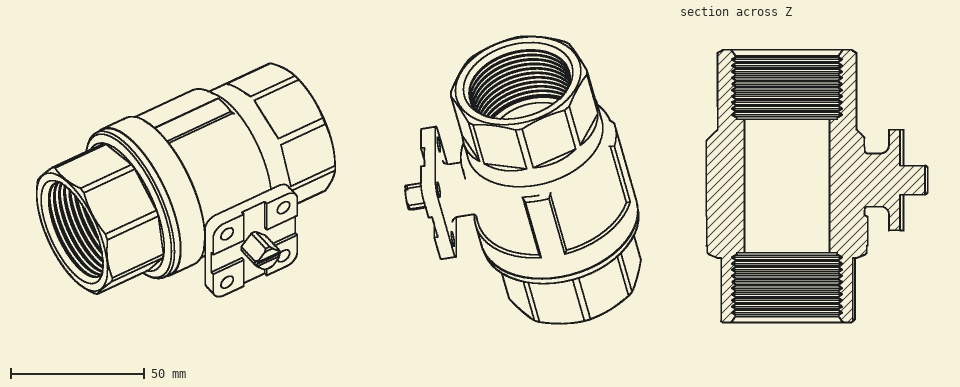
import cadquery as cq
import math


LENGTH = 102.5
BACK_END = 49.0
FRONT_END = BACK_END - LENGTH
BACK_FLATS_END = 27.8
NECK_END = 19.0
PANEL_END = -13.1
BAND_END = -24.6
RING_EDGE = -27.3
RING_CONE = -28.1
RING_END = -29.3

BODY_R = 30.3
PANEL_R = 29.2
PANEL_EDGE_FILLET = 1.0
RING_R = 30.0
RING_CONE_R = 29.2
BACK_R = 26.1
FRONT_R = 25.8
SEAT_R = 15.9

FLAT_COUNT = 8
BACK_FLAT_DISTANCE = 24.6
FRONT_FLAT_DISTANCE = 24.3
FRONT_TURN = -11.2
END_FACE_R = 24.1
END_CHAMFER = 1.2
FLAT_RUNOUT = 0.5

MOUTH_R = 21.0
MOUTH_CHAMFER = 2.3
THREAD_CREST_R = 19.4
THREAD_ROOT_R = 20.7
THREAD_PITCH = 2.31
THREAD_CREST_FLAT = 0.6
THREAD_COUNT = 10
SOCKET_R = 18.9
SOCKET_DEPTH = 26.1

TOP_RIB_HEIGHT = 29.6
TOP_RIB_HALF_WIDTH = 4.3
SIDE_RIB_HALF_WIDTH = 6.0
RIB_SLOPE = 0.6

NECK_R = 10.0
NECK_FILLET = 1.0
FLARE_R = 3.1
FLANGE_X = 38.2
FLANGE_THICKNESS = 5.5
FLANGE_SIZE = 37.9
FLANGE_CORNER_R = 4.8
HOLE_PITCH = 25.4
HOLE_D = 5.5
CHANNEL_WIDTH = 10.2
CHANNEL_DEPTH = 1.3
STEM_END_X = 52.9
STEM_R = 5.5
STEM_SQUARE = 9.0
STEM_CHAMFER = 0.7
STEM_SLOT_WIDTH = 2.0
STEM_SLOT_DEPTH = 1.0

FLANGE_OUTER_X = FLANGE_X + FLANGE_THICKNESS
STEM_START_X = FLANGE_OUTER_X - CHANNEL_DEPTH
SHOULDER_PANEL_Y = NECK_END - (PANEL_R - BACK_R)
SHOULDER_BODY_Y = NECK_END - (BODY_R - BACK_R)
BEYOND = 10.2
EDGE_MARGIN = 0.1


def revolve_about_flow(points):
    """Full turn about Y of an outline given as (radius, y) points."""
    return cq.Workplane("XY").polyline(points).close().revolve(360, (0, 0, 0), (0, 1, 0))


def turn_about_flow(shape, angle):
    """Turn from +X towards +Z."""
    return shape.rotate((0, 0, 0), (0, 1, 0), -angle)


def outer_body():
    bar = revolve_about_flow([
        (0, BACK_END),
        (END_FACE_R, BACK_END),
        (BACK_R, BACK_END - END_CHAMFER),
        (BACK_R, NECK_END),
        (PANEL_R, SHOULDER_PANEL_Y),
        (PANEL_R, PANEL_END),
        (BODY_R, PANEL_END - RIB_SLOPE * (BODY_R - PANEL_R)),
        (BODY_R, BAND_END),
        (RING_R, BAND_END),
        (RING_R, RING_EDGE),
        (RING_CONE_R, RING_CONE),
        (BACK_R, RING_END),
        (FRONT_R, RING_END),
        (FRONT_R, FRONT_END + END_CHAMFER),
        (END_FACE_R, FRONT_END),
        (0, FRONT_END),
    ])
    panel_edge = cq.selectors.BoxSelector(
        (-BODY_R, SHOULDER_PANEL_Y - EDGE_MARGIN, -BODY_R),
        (BODY_R, SHOULDER_PANEL_Y + EDGE_MARGIN, BODY_R),
        boundingbox=True,
    )
    return bar.edges(panel_edge).fillet(PANEL_EDGE_FILLET)


def rib(angle, height, half_width):
    """Sloped-sided rib at the given angle, trimmed by the full-size body and its shoulder."""
    envelope = revolve_about_flow([
        (0, NECK_END),
        (BACK_R, NECK_END),
        (BODY_R, SHOULDER_BODY_Y),
        (BODY_R, BAND_END),
        (0, BAND_END),
    ])
    root = height - BEYOND
    root_half_width = half_width + RIB_SLOPE * BEYOND
    bar = (
        cq.Workplane("XZ", origin=(0, NECK_END, 0))
        .polyline([
            (root, -root_half_width),
            (height, -half_width),
            (height, half_width),
            (root, root_half_width),
        ])
        .close()
        .extrude(NECK_END - BAND_END)
    )
    return turn_about_flow(bar, angle).intersect(envelope)


def cut_flats(body, distance, y_open, y_stop, runout, first_angle):
    """Mill a ring of flats from the end y_open up to y_stop, where the cutter runs out at a slope."""
    depth = BODY_R - distance
    cutter = (
        cq.Workplane("XY")
        .polyline([
            (distance, y_open),
            (distance, y_stop),
            (distance + depth, y_stop - runout * depth),
            (distance + depth, y_open),
        ])
        .close()
        .extrude(BODY_R, both=True)
    )
    for index in range(FLAT_COUNT):
        body = body.cut(turn_about_flow(cutter, first_angle + index * 360 / FLAT_COUNT))
    return body


def threaded_socket():
    """Socket cutter opening at y = 0 and running towards -Y, with ring-shaped thread grooves."""
    groove_width = THREAD_PITCH - THREAD_CREST_FLAT
    outline = [(0, 0), (MOUTH_R, 0), (THREAD_CREST_R, -MOUTH_CHAMFER)]
    for index in range(THREAD_COUNT):
        groove_start = -MOUTH_CHAMFER - index * THREAD_PITCH - THREAD_CREST_FLAT
        outline.append((THREAD_CREST_R, groove_start))
        outline.append((THREAD_ROOT_R, groove_start - groove_width / 2))
        outline.append((THREAD_CREST_R, groove_start - groove_width))
    outline += [
        (SOCKET_R, -MOUTH_CHAMFER - THREAD_COUNT * THREAD_PITCH),
        (SOCKET_R, -SOCKET_DEPTH),
        (0, -SOCKET_DEPTH),
    ]
    return revolve_about_flow(outline)


def neck():
    """Round neck on the body, flaring into the mounting flange."""
    flare_start = FLANGE_X - FLARE_R
    blend = FLARE_R * (1 - math.sqrt(0.5))
    return (
        cq.Workplane("XY")
        .moveTo(SEAT_R, 0)
        .lineTo(SEAT_R, NECK_R)
        .lineTo(flare_start, NECK_R)
        .threePointArc(
            (FLANGE_X - blend, NECK_R + blend),
            (FLANGE_X, NECK_R + FLARE_R),
        )
        .lineTo(FLANGE_X, 0)
        .close()
        .revolve(360, (0, 0, 0), (1, 0, 0))
    )


def flange():
    plate = (
        cq.Workplane("YZ", origin=(FLANGE_X, 0, 0))
        .rect(FLANGE_SIZE, FLANGE_SIZE)
        .extrude(FLANGE_THICKNESS)
        .edges("|X")
        .fillet(FLANGE_CORNER_R)
        .faces(">X")
        .workplane()
        .rect(HOLE_PITCH, HOLE_PITCH, forConstruction=True)
        .vertices()
        .hole(HOLE_D)
    )
    channels = (
        cq.Workplane("YZ", origin=(STEM_START_X, 0, 0))
        .rect(FLANGE_SIZE, CHANNEL_WIDTH)
        .extrude(CHANNEL_DEPTH)
        .union(
            cq.Workplane("YZ", origin=(STEM_START_X, 0, 0))
            .rect(CHANNEL_WIDTH, FLANGE_SIZE)
            .extrude(CHANNEL_DEPTH)
        )
    )
    return plate.cut(channels)


def stem():
    """Square drive standing on its corner, corners turned round, with a position slot in the end."""
    length = STEM_END_X - FLANGE_X
    square = (
        cq.Workplane("YZ", origin=(FLANGE_X, 0, 0))
        .transformed(rotate=(0, 0, 45))
        .rect(STEM_SQUARE, STEM_SQUARE)
        .extrude(length)
    )
    bar = (
        cq.Workplane("YZ", origin=(FLANGE_X, 0, 0))
        .circle(STEM_R)
        .extrude(length)
        .faces(">X")
        .chamfer(STEM_CHAMFER)
    )
    slot = (
        cq.Workplane("YZ", origin=(STEM_END_X - STEM_SLOT_DEPTH, 0, 0))
        .rect(2 * STEM_R, STEM_SLOT_WIDTH)
        .extrude(STEM_SLOT_DEPTH)
    )
    return bar.intersect(square).cut(slot)


half_step = 180 / FLAT_COUNT
body = outer_body()
body = cut_flats(body, BACK_FLAT_DISTANCE, BACK_END + BEYOND, BACK_FLATS_END, FLAT_RUNOUT, half_step)
body = cut_flats(body, FRONT_FLAT_DISTANCE, FRONT_END - BEYOND, RING_END, 0, half_step + FRONT_TURN)
body = body.union(rib(90, TOP_RIB_HEIGHT, TOP_RIB_HALF_WIDTH))
body = body.union(rib(180, BODY_R, SIDE_RIB_HALF_WIDTH))
body = body.union(rib(270, BODY_R, TOP_RIB_HALF_WIDTH))

body = body.union(neck())
neck_foot = cq.selectors.BoxSelector(
    (SEAT_R, -NECK_R - EDGE_MARGIN, -NECK_R - EDGE_MARGIN),
    (BODY_R, NECK_R + EDGE_MARGIN, NECK_R + EDGE_MARGIN),
    boundingbox=True,
)
body = body.edges(neck_foot).fillet(NECK_FILLET)
body = body.union(flange())
body = body.union(stem())

socket = threaded_socket()
body = body.cut(socket.translate((0, BACK_END, 0)))
body = body.cut(socket.mirror("XZ").translate((0, FRONT_END, 0)))
seat = cq.Workplane("XZ", origin=(0, BACK_END, 0)).circle(SEAT_R).extrude(LENGTH)
result = body.cut(seat)